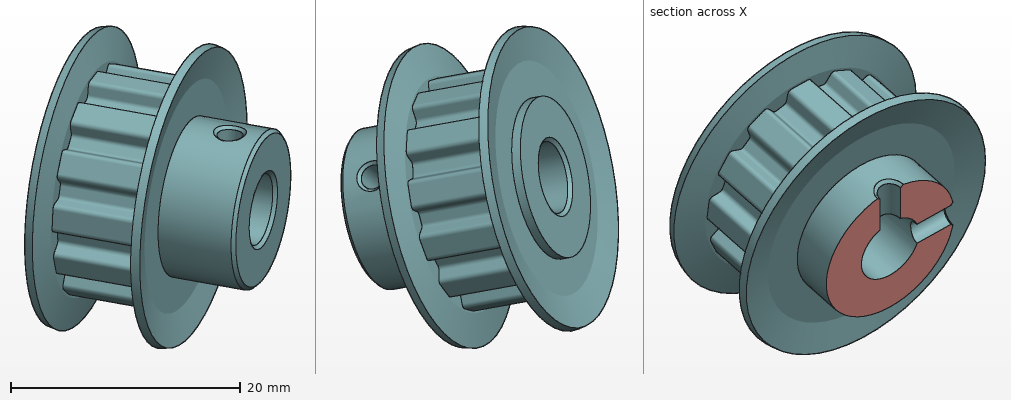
import cadquery as cq
import math


LENGTH = 17.47
HUB_RADIUS = 7.15
HUB_CHAMFER = 0.32
BORE_RADIUS = 3.19
BORE_CHAMFER = 0.32

TOOTH_COUNT = 13
DRUM_APOTHEM = 10.25
DRUM_START = 1.65
DRUM_WIDTH = 7.88
GROOVE_DEPTH = 1.27
GROOVE_FLOOR_WIDTH = 1.32
GROOVE_WALL_ANGLE = math.radians(25)
GROOVE_ROOT_FILLET = 0.4
TOOTH_TIP_FILLET = 0.43

RIM_RADIUS = 13.5
BEND_RADIUS = 10.5
FLANGE_THICKNESS = 0.8
FLANGE_ANGLE = math.radians(12)

SCREW_X = 14.36
SCREW_RADIUS = 1.13
SCREW_CHAMFER = 0.3

AXIS_START = (0, 0, 0)
AXIS_END = (1, 0, 0)


def make_hub():
    """Solid hub cylinder, chamfered at its right end."""
    hub = cq.Workplane("YZ").circle(HUB_RADIUS).extrude(LENGTH)
    return hub.faces(">X").chamfer(HUB_CHAMFER)


def make_groove_cutter():
    """One belt groove pointing along +Z, with its root corners rounded."""
    floor_z = DRUM_APOTHEM - GROOVE_DEPTH
    cutter_height = 2 * GROOVE_DEPTH
    half_floor = GROOVE_FLOOR_WIDTH / 2
    half_top = half_floor + cutter_height * math.tan(GROOVE_WALL_ANGLE)
    return (
        cq.Workplane("YZ", origin=(DRUM_START, 0, 0))
        .moveTo(-half_floor, floor_z)
        .lineTo(half_floor, floor_z)
        .lineTo(half_top, floor_z + cutter_height)
        .lineTo(-half_top, floor_z + cutter_height)
        .close()
        .extrude(DRUM_WIDTH)
        .edges("|X and <Z")
        .fillet(GROOVE_ROOT_FILLET)
    )


def is_tooth_tip(edge):
    """True for an edge in the outer half of the groove depth."""
    center = edge.Center()
    return math.hypot(center.y, center.z) > DRUM_APOTHEM - GROOVE_DEPTH / 2


def make_drum():
    """Toothed drum with flat tooth tops, one of them facing +Z, and rounded tooth tips."""
    pitch_angle = 360 / TOOTH_COUNT
    corner_diameter = 2 * DRUM_APOTHEM / math.cos(math.pi / TOOTH_COUNT)
    drum = (
        cq.Workplane("YZ", origin=(DRUM_START, 0, 0))
        .polygon(TOOTH_COUNT, corner_diameter)
        .extrude(DRUM_WIDTH)
        .rotate(AXIS_START, AXIS_END, 90 + pitch_angle / 2)
    )
    cutter = make_groove_cutter().rotate(AXIS_START, AXIS_END, pitch_angle / 2)
    for index in range(TOOTH_COUNT):
        drum = drum.cut(cutter.rotate(AXIS_START, AXIS_END, index * pitch_angle))
    tip_edges = [edge for edge in drum.edges("|X").objects if is_tooth_tip(edge)]
    return drum.newObject(tip_edges).fillet(TOOTH_TIP_FILLET)


def make_flange(belt_face_x, outward):
    """Bent disc of even thickness; outward is -1 or +1 along X, away from the belt."""
    back_bend_radius = BEND_RADIUS - FLANGE_THICKNESS * math.tan(FLANGE_ANGLE / 2)
    rim_offset = (RIM_RADIUS - BEND_RADIUS) * math.tan(FLANGE_ANGLE)
    back_rim_offset = rim_offset + FLANGE_THICKNESS * math.cos(FLANGE_ANGLE)
    back_rim_radius = RIM_RADIUS - FLANGE_THICKNESS * math.sin(FLANGE_ANGLE)
    half_section = [
        (0, 0),
        (0, BEND_RADIUS),
        (rim_offset, RIM_RADIUS),
        (back_rim_offset, back_rim_radius),
        (FLANGE_THICKNESS, back_bend_radius),
        (FLANGE_THICKNESS, 0),
    ]
    points = [(belt_face_x + outward * offset, radius) for offset, radius in half_section]
    return cq.Workplane("XY").polyline(points).close().revolve(360, AXIS_START, AXIS_END)


def make_bore():
    """Bore through the hub, widened by a chamfer at both mouths."""
    mouth_radius = BORE_RADIUS + BORE_CHAMFER
    half_section = [
        (0, 0),
        (0, mouth_radius),
        (BORE_CHAMFER, BORE_RADIUS),
        (LENGTH - BORE_CHAMFER, BORE_RADIUS),
        (LENGTH, mouth_radius),
        (LENGTH, 0),
    ]
    return cq.Workplane("XY").polyline(half_section).close().revolve(360, AXIS_START, AXIS_END)


def make_screw_hole():
    """Plain hole along +Z, from the axis to beyond the hub surface."""
    return cq.Workplane("XY", origin=(SCREW_X, 0, 0)).circle(SCREW_RADIUS).extrude(2 * HUB_RADIUS)


def is_screw_mouth(edge):
    """True for the curved edge where a screw hole breaks through the hub surface."""
    center = edge.Center()
    on_surface = math.hypot(center.y, center.z) > HUB_RADIUS - SCREW_CHAMFER
    return on_surface and abs(center.x - SCREW_X) < SCREW_RADIUS


def drill_screw_holes(hub):
    """Drill one hole facing +Z and one facing +Y, then chamfer both mouths."""
    for turn in (0, -90):
        hub = hub.cut(make_screw_hole().rotate(AXIS_START, AXIS_END, turn))
    mouth_edges = [edge for edge in hub.edges().objects if is_screw_mouth(edge)]
    return hub.newObject(mouth_edges).chamfer(SCREW_CHAMFER)


left_flange = make_flange(DRUM_START, -1)
right_flange = make_flange(DRUM_START + DRUM_WIDTH, 1)
pulley = make_hub().union(make_drum()).union(left_flange).union(right_flange)
pulley = pulley.cut(make_bore())

result = drill_screw_holes(pulley)